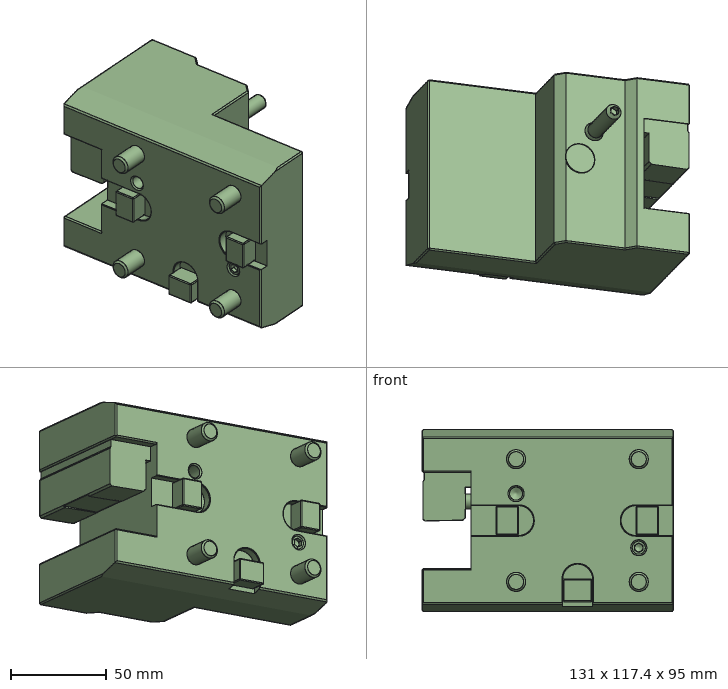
import cadquery as cq
import math


length = 131.0
height = 95.0
deep_end = 74.9
shoulder_depth = 70.0
plate_depth = 36.0
step_x = 71.8
end_pad_length = 29.3
step_bevel = 4.8
bevel_depth = 15.0
bevel_drop = 4.0
edge_chamfer = 0.8

notch_length = 25.4
notch_half_height = 25.0

jaw_front = 6.0
jaw_back_gap = 0.5
jaw_left = 0.4
jaw_right = 22.5
jaw_bottom = -0.3
jaw_bottom_rise = 0.4
jaw_neck_left = 1.0
jaw_neck_bottom = 21.2
jaw_shelf_bottom = 17.3
jaw_corner = 1.3
jaw_chamfer = 1.0
jaw_relief_front = 28.0
jaw_relief_length = 23.6
jaw_relief_depth = 0.8
jaw_shaft_diameter = 8.0
jaw_shaft_z = 10.0
jaw_shaft_y = 39.8

pin_diameter = 10.0
pin_length = 14.9
pin_chamfer = 1.0
pin_left_x = 49.0
pin_pitch = 63.9

slot_width = 15.6
slot_chamfer = 0.4
slot_depth = 5.2
left_slot_x = 50.3
right_slot_x = 111.5
bottom_slot_x = 81.1
bottom_slot_z = -30.5
key_length = 11.8
key_width = 15.0
key_projection = 4.8
key_chamfer = 0.5

screw_hole_diameter = 6.8
screw_hole_rim = 8.4
screw_hole_depth = 13.1
drill_tip_depth = 2.0
hole_z = 14.0
set_screw_z = -14.1
screw_rim_depth = (screw_hole_rim - screw_hole_diameter) / 2
hex_socket_corners = 5.0
hex_socket_tip = 1.0
hex_socket_depth = 3.1

rod_diameter = 8.1
rod_end = 102.5
rod_x = 51.4
rod_z = 16.0
rod_tip_chamfer = 1.8
rod_collar_diameter = 10.0
rod_collar_height = 2.0
rod_socket_corners = 5.0
rod_socket_depth = 3.3
disc_diameter = 16.0
disc_x = 59.2
disc_height = 0.8


def box(x_range, y_range, z_range):
    """Axis-aligned box between three pairs of limits."""
    (x0, x1), (y0, y1), (z0, z1) = x_range, y_range, z_range
    return cq.Workplane("XY").box(x1 - x0, y1 - y0, z1 - z0, centered=False).translate((x0, y0, z0))


def xz_plane(x, y, z):
    """Workplane at a point, with its normal pointing along +Y."""
    return cq.Workplane(cq.Plane((x, y, z), xDir=(0, 0, 1), normal=(0, 1, 0)))


def cone(x, y, z, base_diameter, top_diameter, depth):
    """Truncated or pointed cone running along +Y from its base."""
    solid = cq.Solid.makeCone(
        base_diameter / 2, top_diameter / 2, depth, cq.Vector(x, y, z), cq.Vector(0, 1, 0)
    )
    return cq.Workplane(solid)


def make_body():
    half = height / 2
    shoulder_start = end_pad_length + deep_end - shoulder_depth
    plan = (
        cq.Workplane("XY", origin=(0, 0, -half))
        .polyline([
            (0, 0),
            (length, 0),
            (length, plate_depth),
            (step_x, plate_depth),
            (step_x, shoulder_depth - step_bevel),
            (step_x - step_bevel, shoulder_depth),
            (shoulder_start, shoulder_depth),
            (end_pad_length, deep_end),
            (0, deep_end),
        ])
        .close()
        .extrude(height)
    )
    side = (
        cq.Workplane("YZ")
        .polyline([
            (0, bevel_drop - half),
            (bevel_depth, -half),
            (deep_end, -half),
            (deep_end, half),
            (bevel_depth, half),
            (0, half - bevel_drop),
        ])
        .close()
        .extrude(length)
    )
    notch = box((0, notch_length), (0, deep_end), (-notch_half_height, notch_half_height))
    body = plan.cut(notch)
    outer_edges = body.faces("<X or >X or <Z or >Z").edges()
    body = outer_edges.chamfer(edge_chamfer).intersect(side)
    front_edges = body.faces("<Y").edges("|X")
    return front_edges.chamfer(edge_chamfer)


def make_jaw():
    jaw = (
        cq.Workplane("XZ", origin=(0, jaw_front, 0))
        .polyline([
            (jaw_neck_left, notch_half_height),
            (jaw_neck_left, jaw_neck_bottom),
            (jaw_left, jaw_neck_bottom - jaw_chamfer),
            (jaw_left, jaw_bottom + jaw_chamfer),
            (jaw_left + jaw_chamfer, jaw_bottom),
            (jaw_right - jaw_corner, jaw_bottom + jaw_bottom_rise),
            (jaw_right, jaw_bottom + jaw_bottom_rise + jaw_corner),
            (jaw_right, jaw_shelf_bottom),
            (notch_length, jaw_shelf_bottom),
            (notch_length, notch_half_height),
        ])
        .close()
        .extrude(jaw_front - (deep_end - jaw_back_gap))
    )
    relief = box(
        (jaw_left, jaw_right),
        (jaw_relief_front, jaw_relief_front + jaw_relief_length),
        (jaw_bottom, jaw_bottom + jaw_relief_depth),
    )
    shaft = (
        cq.Workplane("YZ", origin=(jaw_right, jaw_shaft_y, jaw_shaft_z))
        .circle(jaw_shaft_diameter / 2)
        .extrude(notch_length - jaw_right)
    )
    return jaw.cut(relief).union(shaft)


def make_slot(x, z, angle):
    """Round-ended slot whose open end points along +X before turning by angle about Y."""
    half = slot_width / 2
    wide_half = half + slot_chamfer
    open_end = cq.Workplane("XY").box(length, slot_depth, slot_width, centered=(False, False, True))
    round_end = xz_plane(0, 0, 0).circle(half).extrude(slot_depth)
    open_rim = (
        cq.Workplane("YZ")
        .polyline([(0, -wide_half), (slot_chamfer, -half), (slot_chamfer, half), (0, wide_half)])
        .close()
        .extrude(length)
    )
    round_rim = cone(0, 0, 0, 2 * wide_half, slot_width, slot_chamfer)
    slot = open_end.union(round_end).union(open_rim).union(round_rim)
    return slot.rotate((0, 0, 0), (0, 1, 0), angle).translate((x, 0, z))


def make_key(x, z, angle):
    """Key filling the start of a slot and standing proud of the mounting face."""
    full_depth = slot_depth + key_projection
    key = (
        cq.Workplane("XY")
        .box(key_length, full_depth, key_width, centered=(False, False, True))
        .edges("|Y or <Y")
        .chamfer(key_chamfer)
    )
    key = key.translate((0, -key_projection, 0))
    return key.rotate((0, 0, 0), (0, 1, 0), angle).translate((x, 0, z))


def make_pin(x, z):
    pin = xz_plane(x, -pin_length, z).circle(pin_diameter / 2).extrude(pin_length)
    return pin.faces("<Y").chamfer(pin_chamfer)


def make_threaded_hole(x, z):
    rim = cone(x, 0, z, screw_hole_rim, screw_hole_diameter, screw_rim_depth)
    bore = xz_plane(x, 0, z).circle(screw_hole_diameter / 2).extrude(screw_hole_depth)
    tip = cone(x, screw_hole_depth, z, screw_hole_diameter, 0, drill_tip_depth)
    return rim.union(bore).union(tip)


def make_set_screw_recess(x, z):
    """Countersunk rim above a set screw with a hexagonal socket."""
    rim = cone(x, 0, z, screw_hole_rim, screw_hole_diameter, screw_rim_depth)
    socket = xz_plane(x, 0, z).polygon(6, hex_socket_corners).extrude(hex_socket_depth)
    tip_diameter = hex_socket_corners * math.cos(math.pi / 6)
    tip = cone(x, hex_socket_depth, z, tip_diameter, 0, hex_socket_tip)
    return rim.union(socket).union(tip)


def make_rod():
    rod = xz_plane(rod_x, shoulder_depth, rod_z).circle(rod_diameter / 2).extrude(rod_end - shoulder_depth)
    rod = rod.faces(">Y").chamfer(rod_tip_chamfer)
    socket = xz_plane(rod_x, rod_end, rod_z).polygon(6, rod_socket_corners).extrude(-rod_socket_depth)
    collar = cone(rod_x, shoulder_depth, rod_z, rod_collar_diameter, rod_diameter, rod_collar_height)
    return rod.union(collar).cut(socket)


def make_disc():
    return xz_plane(disc_x, shoulder_depth, 0).circle(disc_diameter / 2).extrude(disc_height)


pin_right_x = pin_left_x + pin_pitch
slots = [
    (left_slot_x, 0, 180),
    (right_slot_x, 0, 0),
    (bottom_slot_x, bottom_slot_z, 90),
]

result = make_body().union(make_jaw())
for slot_place in slots:
    result = result.cut(make_slot(*slot_place))
for slot_place in slots:
    result = result.union(make_key(*slot_place))
for pin_x in (pin_left_x, pin_right_x):
    for pin_z in (-pin_pitch / 2, pin_pitch / 2):
        result = result.union(make_pin(pin_x, pin_z))
result = result.cut(make_threaded_hole(pin_left_x, hole_z))
result = result.cut(make_set_screw_recess(pin_right_x, set_screw_z))
result = result.union(make_rod()).union(make_disc())